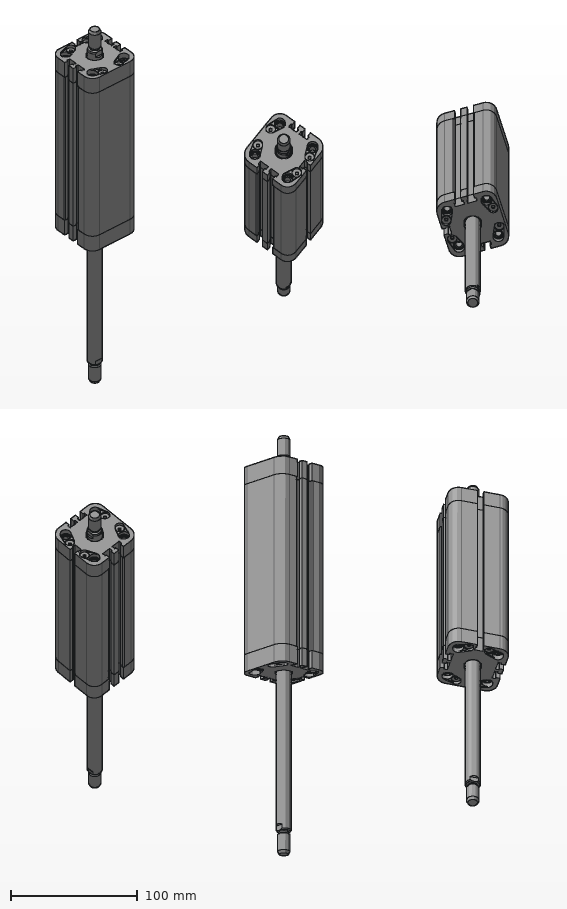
import cadquery as cq
import math

total_length = 345.0
rod_overhang = 25.5
body_length = 169.5
cap_height = 14.5
body_top = total_length - rod_overhang
body_bottom = body_top - body_length
body_middle = (body_top + body_bottom) / 2
barrel_length = body_length - 2 * cap_height

section_width = 49.0
half_width = section_width / 2
corner_radius = 8.5

slot_opening = 5.2
slot_undercut_width = 7.5
side_undercut_width = 6.5
slot_depth = 6.2
slot_lip = 3.5
slot_offset = 5.2
barrel_slot_chamfer = 1.0

rod_diameter = 12.0
thread_diameter = 10.0
groove_diameter = 8.0
thread_end_chamfer = 2.5
thread_end_diameter = 7.5
groove_start = 16.2
groove_end = 19.0
groove_runout = 0.7
shoulder_chamfer_width = 0.7
shoulder_chamfer_height = 1.0
flat_width = 10.0
flat_length = 4.0
rod_recess_diameter = 14.0
rod_recess_depth = 1.7

mount_x = 16.2
mount_y = 16.2
mount_diameter = 8.5
recess_depth = 1.5
mount_depth = 5.0
mount_seat_depth = 6.2
mount_seat_diameter = 7.0
mount_hole_diameter = 5.0
screw_x = 19.3
screw_y = 8.3
screw_diameter = 7.5
screw_depth = 2.8
socket_diameter = 2.5
socket_depth = 4.0


def square_section(height):
    """Rounded square column standing on Z = 0."""
    column = cq.Workplane("XY").rect(section_width, section_width).extrude(height)
    return column.edges("|Z").fillet(corner_radius)


def t_slot(height, undercut_width):
    """T-slot cutter opening toward +Y, centred on X = 0."""
    opening = cq.Workplane("XY").center(0, half_width - slot_depth / 2).rect(slot_opening, slot_depth)
    undercut_depth = slot_depth - slot_lip
    undercut_y = half_width - slot_lip - undercut_depth / 2
    undercut = cq.Workplane("XY").center(0, undercut_y).rect(undercut_width, undercut_depth)
    return opening.extrude(height).union(undercut.extrude(height))


def slotted_section(height):
    """Square column with two T-slots on each Y side and one on the -X side."""
    column = square_section(height)
    slot = t_slot(height, slot_undercut_width)
    for side_angle in (0, 180):
        for offset in (-slot_offset, slot_offset):
            cutter = slot.translate((offset, 0, 0)).rotate((0, 0, 0), (0, 0, 1), side_angle)
            column = column.cut(cutter)
    side_slot = t_slot(height, side_undercut_width).rotate((0, 0, 0), (0, 0, 1), 90)
    return column.cut(side_slot)


def make_barrel():
    """Slotted column between the caps, bored for the rod."""
    barrel = slotted_section(barrel_length)
    lip_edge = slot_offset + slot_opening / 2
    bevel = (
        cq.Workplane("XY")
        .polyline([
            (lip_edge, half_width),
            (lip_edge + barrel_slot_chamfer, half_width),
            (lip_edge, half_width - barrel_slot_chamfer),
        ])
        .close()
        .extrude(barrel_length)
    )
    bevels = bevel.union(bevel.mirror("YZ"))
    barrel = barrel.cut(bevels).cut(bevels.mirror("XZ"))
    rod_bore = cq.Workplane("XY").circle(rod_diameter / 2).extrude(barrel_length)
    return barrel.cut(rod_bore).translate((0, 0, body_bottom + cap_height))


def make_fastening_recess():
    """Two-lobed recess with its stepped bores at the +X +Y corner of a cap whose face is at Z = cap_height."""
    dx = screw_x - mount_x
    dy = screw_y - mount_y
    mount_radius = mount_diameter / 2
    screw_radius = screw_diameter / 2
    axis_angle = math.atan2(dy, dx)
    tangent_angle = math.acos((mount_radius - screw_radius) / math.hypot(dx, dy))

    def rim(x, y, radius, angle):
        return (x + radius * math.cos(angle), y + radius * math.sin(angle))

    left = axis_angle + tangent_angle
    right = axis_angle - tangent_angle
    recess = (
        cq.Workplane("XY")
        .workplane(offset=cap_height - recess_depth)
        .moveTo(*rim(mount_x, mount_y, mount_radius, left))
        .threePointArc(
            rim(mount_x, mount_y, mount_radius, axis_angle + math.pi),
            rim(mount_x, mount_y, mount_radius, right),
        )
        .lineTo(*rim(screw_x, screw_y, screw_radius, right))
        .threePointArc(
            rim(screw_x, screw_y, screw_radius, axis_angle),
            rim(screw_x, screw_y, screw_radius, left),
        )
        .close()
        .extrude(recess_depth)
    )
    bores = [
        (mount_x, mount_y, mount_diameter, mount_depth),
        (mount_x, mount_y, mount_seat_diameter, mount_seat_depth),
        (mount_x, mount_y, mount_hole_diameter, cap_height),
        (screw_x, screw_y, screw_diameter, screw_depth),
        (screw_x, screw_y, socket_diameter, socket_depth),
    ]
    for x, y, diameter, depth in bores:
        start = cq.Workplane("XY").workplane(offset=cap_height - depth).center(x, y)
        recess = recess.union(start.circle(diameter / 2).extrude(depth))
    return recess


def make_cap():
    """Top cap with its outer face at the top of the body."""
    cap = slotted_section(cap_height)
    cap = cap.cut(cq.Workplane("XY").circle(rod_diameter / 2).extrude(cap_height))
    rod_recess = cq.Workplane("XY").workplane(offset=cap_height - rod_recess_depth)
    cap = cap.cut(rod_recess.circle(rod_recess_diameter / 2).extrude(rod_recess_depth))
    corner = make_fastening_recess()
    corner = corner.union(corner.mirror("YZ"))
    cap = cap.cut(corner.union(corner.mirror("XZ")))
    return cap.translate((0, 0, body_top - cap_height))


def make_rod():
    """Through rod with a threaded end, relief groove and wrench flats at both ends."""
    thread_radius = thread_diameter / 2
    groove_radius = groove_diameter / 2
    rod_radius = rod_diameter / 2
    half_profile = [
        (0, total_length),
        (thread_end_diameter / 2, total_length),
        (thread_radius, total_length - thread_end_chamfer),
        (thread_radius, total_length - groove_start),
        (groove_radius, total_length - groove_start - groove_runout),
        (groove_radius, total_length - groove_end + groove_runout),
        (rod_radius - shoulder_chamfer_width, total_length - groove_end),
        (rod_radius, total_length - groove_end - shoulder_chamfer_height),
        (rod_radius, total_length / 2),
        (0, total_length / 2),
    ]
    half = cq.Workplane("XZ").polyline(half_profile).close().revolve(360, (0, 0), (0, 1))
    flat_inner = flat_width / 2
    ramp = rod_radius - flat_inner
    ramp_reach = 2 * ramp
    shoulder = total_length - groove_end
    cutter_top = shoulder + groove_runout
    ramp_start = shoulder - flat_length
    flat_profile = [
        (flat_inner, cutter_top),
        (flat_inner, ramp_start),
        (flat_inner + ramp_reach, ramp_start - ramp_reach),
        (flat_inner + ramp_reach, cutter_top),
    ]
    flat = cq.Workplane("XZ").polyline(flat_profile).close().extrude(rod_radius, both=True)
    half = half.cut(flat).cut(flat.mirror("YZ"))
    return half.union(half.mirror("XY", (0, 0, total_length / 2)))


barrel = make_barrel()
top_cap = make_cap()
bottom_cap = top_cap.mirror("XY", (0, 0, body_middle))
rod = make_rod()
result = cq.Compound.makeCompound([barrel.val(), top_cap.val(), bottom_cap.val(), rod.val()])